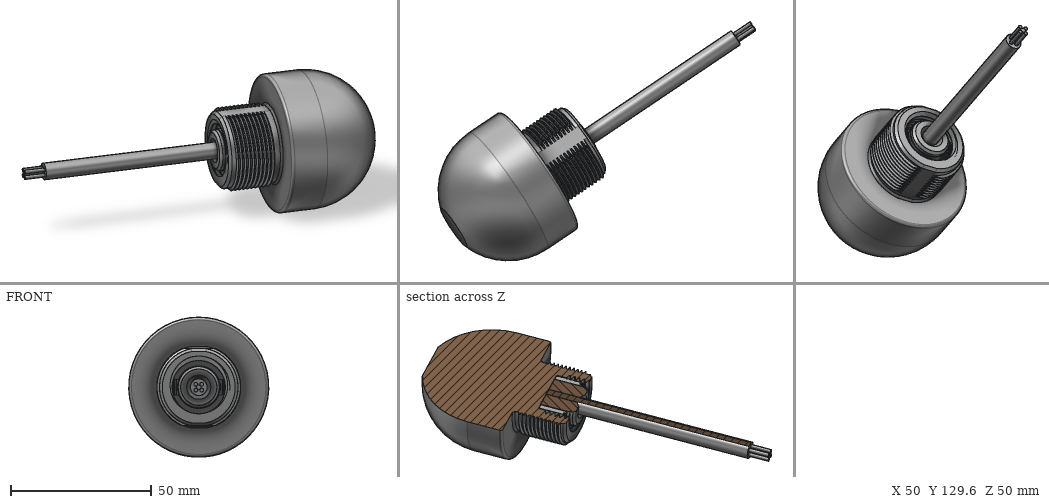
import cadquery as cq
import math


body_radius = 25.0
dome_height = 23.59
base_length = 13.3
base_fillet = 1.0

neck_length = 20.0
neck_radius = 14.0
flat_height = 13.75
neck_root_flare = 0.8
neck_end_chamfer = 1.0
thread_radius = 15.0
thread_pitch = 1.5
thread_turns = 10.5
thread_start = 2.225
thread_root_half_width = 0.6
thread_crest_half_width = 0.1
thread_overlap = 0.2

bore_radius = 9.5
bore_depth = 12.0
bore_thread_radius = 11.1
bore_thread_pitch = 1.814
bore_thread_turns = 5
bore_thread_mouth_half_width = 0.85
bore_thread_root_half_width = 0.1
bore_thread_end_angle = 265

gland_radius = 7.6
gland_lip_radius = 7.35
gland_lip_length = 2.0
gland_protrusion = 1.1
gland_chamfer = 0.9
gland_mouth_radius = 4.3
lug_outer_radius = 9.3
lug_half_width = 2.7
lug_recess = 2.0
lug_groove_width = 0.4
lug_groove_depth = 0.8
lug_groove_radii = (8.2, 8.8)

cable_radius = 3.0
wire_length = 7.5
core_wire_radius = 0.85
outer_wire_radius = 0.65
outer_wire_count = 4
overall_length = 129.59

bore_floor = bore_depth - neck_length
gland_end = -(neck_length + gland_protrusion)
wire_end = dome_height + base_length - overall_length
cable_end = wire_end + wire_length


def rear_plane(y):
    """Plane across the axis at y, with its own x along -X and its normal toward -Y."""
    return cq.Plane(origin=(0, y, 0), xDir=(-1, 0, 0), normal=(0, -1, 0))


def rod(radius, front_y, rear_y):
    """Cylinder on the Y axis that runs from front_y back to rear_y."""
    return cq.Workplane(rear_plane(front_y)).circle(radius).extrude(front_y - rear_y)


def helical_ridge(start_y, start_angle, root, tip, root_half_width, tip_half_width, pitch, turns):
    """Right-handed trapezoidal ridge between the root and tip radii, winding toward -Y.

    start_angle is measured about the Y axis, from -X through -Z.
    """
    corners = [
        (root, -root_half_width),
        (tip, -tip_half_width),
        (tip, tip_half_width),
        (root, root_half_width),
    ]
    edges = []
    for radius, shift in corners:
        helix = cq.Wire.makeHelix(pitch, pitch * turns, radius).Edges()[0]
        edges.append(helix.moved(cq.Location(cq.Vector(0, 0, shift))))
    faces = []
    for edge, next_edge in zip(edges, edges[1:] + edges[:1]):
        faces.append(cq.Face.makeRuledSurface(edge, next_edge))
    for end in (0, 1):
        points = [edge.positionAt(end) for edge in edges]
        faces.append(cq.Face.makeFromWires(cq.Wire.makePolygon(points, close=True)))
    ridge = cq.Solid.makeSolid(cq.Shell.makeShell(faces)).fix()
    ridge = ridge.rotate(cq.Vector(0, 0, 0), cq.Vector(0, 0, 1), start_angle)
    return cq.Workplane(ridge.moved(cq.Location(rear_plane(start_y))))


def make_head():
    """Truncated dome on a short cylinder, turned about the Y axis."""
    top_radius = math.sqrt(body_radius**2 - dome_height**2)
    mid_angle = math.asin(dome_height / body_radius) / 2
    dome_middle = (
        base_length + body_radius * math.sin(mid_angle),
        body_radius * math.cos(mid_angle),
    )
    return (
        cq.Workplane("YZ")
        .lineTo(0, body_radius - base_fillet)
        .radiusArc((base_fillet, body_radius), base_fillet)
        .lineTo(base_length, body_radius)
        .threePointArc(dome_middle, (base_length + dome_height, top_radius))
        .lineTo(base_length + dome_height, 0)
        .close()
        .revolve(360, (0, 0, 0), (1, 0, 0))
    )


def neck_section(workplane, growth):
    """Round outline with flats on the +Z and -Z sides, grown outward by growth."""
    radius = neck_radius + growth
    height = flat_height + growth
    half_flat = math.sqrt(radius**2 - height**2)
    return (
        workplane.moveTo(-half_flat, height)
        .lineTo(half_flat, height)
        .threePointArc((radius, 0), (half_flat, -height))
        .lineTo(-half_flat, -height)
        .threePointArc((-radius, 0), (-half_flat, height))
        .close()
    )


def neck_stage(front_y, front_growth, length, rear_growth):
    """Straight-sided stretch of the neck between two outlines."""
    front = neck_section(cq.Workplane(rear_plane(front_y)), front_growth)
    return neck_section(front.workplane(offset=length), rear_growth).loft(ruled=True)


def make_neck():
    chamfer_start = neck_end_chamfer - neck_length
    flare = neck_stage(0, neck_root_flare, neck_root_flare, 0)
    shank = rod(neck_radius, 0, chamfer_start)
    end = neck_stage(chamfer_start, 0, neck_end_chamfer, -neck_end_chamfer)
    thread = helical_ridge(
        -thread_start,
        -90,
        neck_radius - thread_overlap,
        thread_radius,
        thread_root_half_width,
        thread_crest_half_width,
        thread_pitch,
        thread_turns,
    )
    between_flats = cq.Workplane("XY").box(2 * body_radius, 2 * neck_length, 2 * flat_height)
    between_flats = between_flats.translate((0, -neck_length, 0))
    return shank.union(thread).intersect(between_flats).union(flare).union(end)


def make_body():
    bore_thread = helical_ridge(
        bore_thread_pitch * bore_thread_turns - neck_length,
        bore_thread_end_angle,
        bore_radius - thread_overlap,
        bore_thread_radius,
        bore_thread_mouth_half_width,
        bore_thread_root_half_width,
        bore_thread_pitch,
        bore_thread_turns + 1,
    )
    bore = rod(bore_radius, bore_floor, -neck_length).union(bore_thread)
    return make_head().union(make_neck()).cut(bore)


def make_lug(side):
    """Grooved lug that reaches from the gland toward the bore wall on one side."""
    lug_end = lug_recess - neck_length
    lug = (
        cq.Workplane("XY")
        .box(lug_outer_radius, bore_floor - lug_end, 2 * lug_half_width)
        .translate((side * lug_outer_radius / 2, (bore_floor + lug_end) / 2, 0))
    )
    lug = lug.intersect(rod(lug_outer_radius, bore_floor, lug_end))
    for radius in lug_groove_radii:
        groove = cq.Workplane("XY").box(lug_groove_width, 2 * lug_groove_depth, 2 * lug_half_width)
        lug = lug.cut(groove.translate((side * radius, lug_end, 0)))
    return lug


def make_gland():
    lip_start = gland_end + gland_lip_length
    lip = rod(gland_lip_radius, lip_start, gland_end).faces("<Y").chamfer(gland_chamfer)
    gland = rod(gland_radius, bore_floor, lip_start).union(lip)
    for side in (-1, 1):
        gland = gland.union(make_lug(side))
    mouth_depth = gland_mouth_radius - cable_radius
    mouth = (
        cq.Workplane(rear_plane(gland_end))
        .circle(gland_mouth_radius)
        .extrude(-mouth_depth, taper=45)
    )
    return gland.cut(rod(cable_radius, bore_floor, gland_end)).cut(mouth)


def make_cable():
    return rod(cable_radius, bore_floor, cable_end)


def make_wire(radius, x, z):
    return rod(radius, cable_end, wire_end).translate((x, 0, z))


def make_outer_wires():
    """Wires laid evenly around the core wire, each touching it."""
    spacing = core_wire_radius + outer_wire_radius
    wires = []
    for index in range(outer_wire_count):
        angle = 2 * math.pi * (index + 0.5) / outer_wire_count
        wires.append(make_wire(outer_wire_radius, spacing * math.cos(angle), spacing * math.sin(angle)))
    return wires


body = make_body()
gland = make_gland()
cable = make_cable()
core_wire = make_wire(core_wire_radius, 0, 0)
outer_wires = make_outer_wires()

result = cq.Compound.makeCompound(
    [
        body.val(),
        gland.val(),
        cable.val(),
        core_wire.val(),
        *[wire.val() for wire in outer_wires],
    ]
)